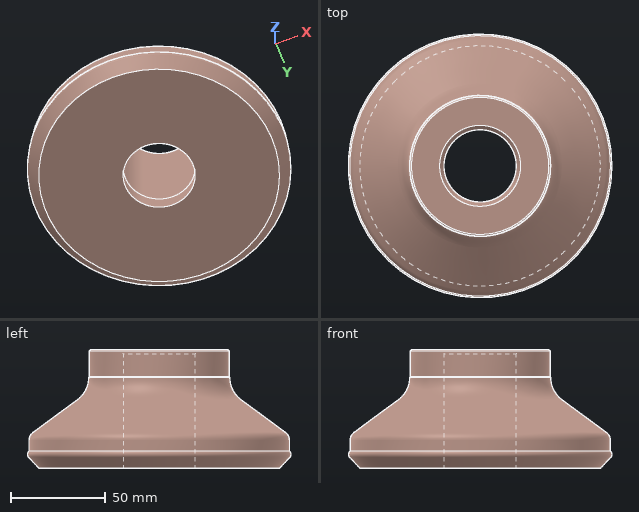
import cadquery as cq
import math

total_height = 63.0
bore_diameter = 38.1
bore_chamfer = 2.4

pad_diameter = 139.7
pad_height = 9.2
pad_flank_width = 6.1
lip_bottom = 5.6

wall_diameter = 138.0
wall_top = 15.0
cone_bottom_radius = 66.8
cone_bottom = 19.1
cone_top_radius = 43.5
cone_top = 36.3
neck_diameter = 74.9
collar_diameter = 74.3
neck_top = 48.0
collar_bottom = 48.8
collar_chamfer = 0.8

bore_radius = bore_diameter / 2
wall_radius = wall_diameter / 2
neck_radius = neck_diameter / 2
collar_radius = collar_diameter / 2
cone_slope = math.atan2(cone_top - cone_bottom, cone_bottom_radius - cone_top_radius)


def arc_middle(start, end, radius, bulge):
    """Middle of the minor arc from start to end; bulge +1 puts it right of travel, -1 left."""
    run = end[0] - start[0]
    rise = end[1] - start[1]
    chord = math.hypot(run, rise)
    sagitta = radius - math.sqrt(radius**2 - (chord / 2) ** 2)
    return (
        (start[0] + end[0]) / 2 + bulge * sagitta * rise / chord,
        (start[1] + end[1]) / 2 - bulge * sagitta * run / chord,
    )


def blend_radius(start, end):
    """Radius of an arc that turns between vertical and the slope of the cone."""
    turn = math.pi / 2 - cone_slope
    chord = math.hypot(end[0] - start[0], end[1] - start[1])
    return chord / (2 * math.sin(turn / 2))


def make_pad():
    """Revolved ring with a sloping flank below a rounded lip around the bell."""
    lip_radius = pad_diameter / 2
    flank_start = (lip_radius - pad_flank_width, 0)
    flank_end = (wall_radius, lip_bottom)
    lip_outermost = (lip_radius, (lip_bottom + pad_height) / 2)
    lip_end = (wall_radius, pad_height)
    profile = (
        cq.Workplane("XZ")
        .moveTo(bore_radius, 0)
        .lineTo(*flank_start)
        .lineTo(*flank_end)
        .threePointArc(lip_outermost, lip_end)
        .lineTo(bore_radius, pad_height)
        .close()
    )
    return profile.revolve(360, (0, 0, 0), (0, 1, 0))


def make_housing():
    """Revolved bell with a collar on top and a chamfered bore."""
    shoulder_start = (wall_radius, wall_top)
    shoulder_end = (cone_bottom_radius, cone_bottom)
    neck_start = (cone_top_radius, cone_top)
    neck_end = (neck_radius, neck_top)
    shoulder_middle = arc_middle(
        shoulder_start, shoulder_end, blend_radius(shoulder_start, shoulder_end), bulge=1
    )
    neck_middle = arc_middle(neck_start, neck_end, blend_radius(neck_start, neck_end), bulge=-1)
    profile = (
        cq.Workplane("XZ")
        .moveTo(bore_radius, pad_height)
        .lineTo(wall_radius, pad_height)
        .lineTo(*shoulder_start)
        .threePointArc(shoulder_middle, shoulder_end)
        .lineTo(*neck_start)
        .threePointArc(neck_middle, neck_end)
        .lineTo(collar_radius, collar_bottom)
        .lineTo(collar_radius, total_height - collar_chamfer)
        .lineTo(collar_radius - collar_chamfer, total_height)
        .lineTo(bore_radius + bore_chamfer, total_height)
        .lineTo(bore_radius, total_height - bore_chamfer)
        .close()
    )
    return profile.revolve(360, (0, 0, 0), (0, 1, 0))


pad = make_pad()
housing = make_housing()

result = cq.Compound.makeCompound([pad.val(), housing.val()])